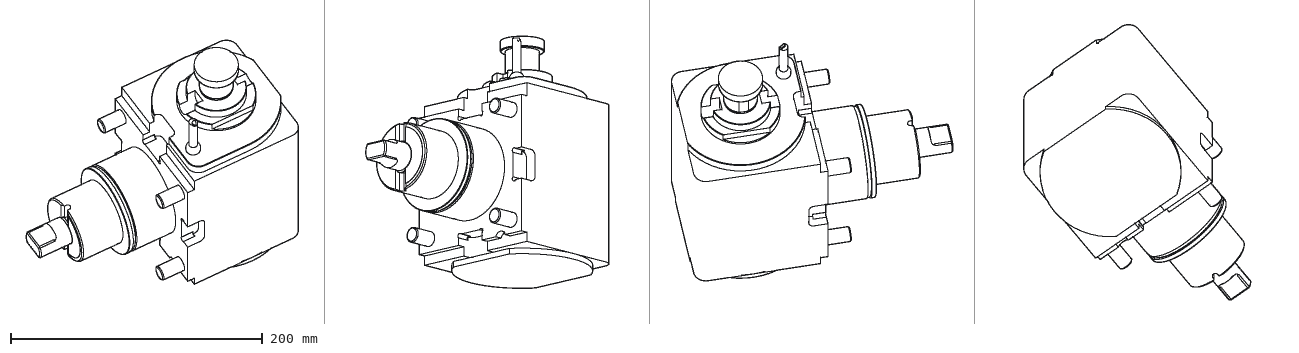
import cadquery as cq
import math


block_width = 112.0
block_back_y = 46.8
block_front_y = -54.0
block_top_z = 66.5
block_bottom_z = -63.5
block_corner_radius = 10.0
flange_front_y = -60.0
flange_half_height = 56.0

lid_top_z = 74.1
lid_radius = 51.5
lid_corner_radius = 10.0
lid_chamfer = 0.5
base_bottom_z = -68.0
base_front_y = -47.0

pocket_half_width = 12.8
pocket_back_y = -44.5
pocket_fillet = 4.5
upright_pocket_floor = 47.0
side_pocket_floor = 46.5
relief_diameter = 4.0
relief_inset = 1.2
relief_back_y = -49.5

nozzle_x = 33.0
nozzle_y = -41.2
ball_diameter = 12.0
ball_center_z = 75.8
pipe_diameter = 7.0
pipe_top_z = 108.8
spray_hole_diameter = 4.8
spray_hole_x = 0.7
spray_hole_y = 0.5
spray_hole_depth = 1.5
spray_hole_length = 8.7
spray_hole_direction = (1, 0.7, 1)

notch_radius = 5.2
notch_center_z = -57.5

neck_diameter = 75.0
neck_end_y = -103.0
neck_chamfer = 0.5
ring_groove_diameter = 70.2
ring_groove_y = -96.0
ring_groove_width = 3.3
ring_thickness = 3.0
ring_outer_diameter = 73.7
nose_diameter = 55.0
nose_end_y = -140.5
nose_chamfer = 1.0
nose_groove_width = 4.8
nose_groove_depth = 5.2
nose_groove_mouth = 11.7
nose_groove_mouth_depth = 1.3
nose_recess_radius = 23.8
nose_recess_depth = 0.2

shaft_diameter = 23.0
shaft_end_y = -170.0
shaft_chamfer = 1.0
shoulder_diameter = 25.5
shoulder_back_y = -130.0
tang_thickness = 13.5
tang_start_y = -152.8
tang_root_fillet = 2.5
tang_chamfer = 1.0
tang_side_bevel_depth = 0.5

knob_diameter = 35.0
knob_top_z = 120.0
knob_bottom_z = 111.5
knob_chamfer = 0.7
stem_diameter = 27.0
stem_flat_x = -13.0
stem_flat_bottom_z = 93.2
stem_flat_top_z = 110.5
undercut_diameter = 26.2
collar_diameter = 47.9
collar_top_z = 91.2
plate_diameter = 63.0
plate_top_z = 83.2
plate_bottom_z = 75.6
plate_half_flats = 25.1
plate_flat_bottom_z = 77.4
collar_chamfer = 0.5
spigot_diameter = 56.0
driver_slot_width = 12.0
driver_slot_center_z = 85.4
driver_slot_inner_y = 16.0

screw_diameter = 12.1
screw_pitch_half = 45.0
screw_end_y = -80.0
screw_chamfer = 0.9


def box_between(x0, x1, y0, y1, z0, z1):
    """Box given by its limits on the three axes."""
    return cq.Workplane("XY").box(x1 - x0, y1 - y0, z1 - z0, centered=False).translate((x0, y0, z0))


def upright_cylinder(diameter, z0, z1):
    """Cylinder on the spindle axis."""
    return cq.Workplane("XY", origin=(0, 0, z0)).circle(diameter / 2).extrude(z1 - z0)


def front_cylinder(diameter, back_y, front_y, x=0.0, z=0.0):
    """Cylinder along -Y from back_y to front_y."""
    return cq.Workplane("XZ", origin=(x, back_y, z)).circle(diameter / 2).extrude(back_y - front_y)


def make_block():
    """Block with rounded back corners and a raised flange on its front."""
    half = block_width / 2
    block = box_between(-half, half, block_front_y, block_back_y, block_bottom_z, block_top_z)
    block = block.edges("|Z and >Y").fillet(block_corner_radius)
    flange = box_between(-half, half, flange_front_y, block_front_y, -flange_half_height, flange_half_height)
    return block.union(flange)


def make_lid():
    """Round cover with one square corner, cut off level with the back of the block."""
    disc = upright_cylinder(2 * lid_radius, block_top_z, lid_top_z)
    corner = box_between(0, lid_radius, -lid_radius, 0, block_top_z, lid_top_z)
    corner = corner.edges("|Z and >X and <Y").fillet(lid_corner_radius)
    trim = box_between(-lid_radius, lid_radius, -lid_radius, block_back_y, block_top_z, lid_top_z)
    return disc.union(corner).faces(">Z").chamfer(lid_chamfer).intersect(trim)


def make_base():
    """Round cover under the block, as wide as the block and cut off at the front and back."""
    half = block_width / 2
    disc = upright_cylinder(block_width, base_bottom_z, block_bottom_z)
    return disc.intersect(box_between(-half, half, base_front_y, block_back_y, base_bottom_z, block_bottom_z))


def make_key_pocket(floor, angle):
    """Open pocket with relieved floor corners, turned about the drive axis from the top position."""
    half = pocket_half_width
    pocket = box_between(-half, half, flange_front_y, pocket_back_y, floor, lid_top_z)
    pocket = pocket.edges("|Z and >Y").fillet(pocket_fillet)
    for side in (-1, 1):
        x = side * (half - relief_inset)
        z = floor + relief_inset
        pocket = pocket.union(front_cylinder(relief_diameter, relief_back_y, flange_front_y, x, z))
    return pocket.rotate((0, 0, 0), (0, 1, 0), angle)


def make_neck():
    """Stepped neck with a sealing ring in a groove, ending in a grooved nose."""
    neck = front_cylinder(neck_diameter, flange_front_y, neck_end_y).faces("<Y").chamfer(neck_chamfer)
    groove_front_y = ring_groove_y - ring_groove_width
    ring_groove = front_cylinder(neck_diameter, ring_groove_y, groove_front_y).cut(
        front_cylinder(ring_groove_diameter, ring_groove_y, groove_front_y)
    )
    nose = front_cylinder(nose_diameter, neck_end_y, nose_end_y).faces("<Y").chamfer(nose_chamfer)
    recess = front_cylinder(2 * nose_recess_radius, nose_end_y + nose_recess_depth, nose_end_y)
    recess = recess.intersect(
        box_between(0, nose_diameter, nose_end_y, neck_end_y, -nose_diameter, nose_diameter)
    )
    neck = neck.cut(ring_groove).union(make_sealing_ring())
    return neck.union(nose.cut(recess).cut(make_nose_groove()))


def make_sealing_ring():
    """Round bead that fills the ring groove to just below the neck surface."""
    center_radius = (ring_outer_diameter - ring_thickness) / 2
    center_y = ring_groove_y - ring_groove_width / 2
    return (
        cq.Workplane("XY", origin=(-center_radius, center_y, 0))
        .circle(ring_thickness / 2)
        .revolve(360, (center_radius, 0, 0), (center_radius, 1, 0))
    )


def make_nose_groove():
    """Round-bottomed groove along Z across the nose face, with a flared mouth."""
    radius = nose_groove_width / 2
    straight_y = nose_end_y + nose_groove_depth - radius
    flare_y = nose_end_y + nose_groove_mouth_depth
    mouth = nose_groove_mouth / 2
    return (
        cq.Workplane("XY", origin=(0, 0, -nose_diameter / 2))
        .moveTo(-mouth, nose_end_y)
        .lineTo(-radius, flare_y)
        .lineTo(-radius, straight_y)
        .threePointArc((0, straight_y + radius), (radius, straight_y))
        .lineTo(radius, flare_y)
        .lineTo(mouth, nose_end_y)
        .close()
        .extrude(nose_diameter)
    )


def make_nozzle():
    """Ball with an upright pipe, whose tip has a spray hole slanting outward."""
    ball = cq.Workplane("XY").sphere(ball_diameter / 2).translate((0, 0, ball_center_z))
    pipe = upright_cylinder(pipe_diameter, ball_center_z, pipe_top_z)
    hole_center = (spray_hole_x, spray_hole_y, pipe_top_z - spray_hole_depth)
    spray_hole = (
        cq.Workplane(cq.Plane(origin=hole_center, normal=spray_hole_direction))
        .circle(spray_hole_diameter / 2)
        .extrude(spray_hole_length)
    )
    return ball.union(pipe).cut(spray_hole).translate((nozzle_x, nozzle_y, 0))


def make_drive_shaft():
    """Shaft with a 45 degree tapered shoulder inside the nose and a flat tang on its front end."""
    shaft_radius = shaft_diameter / 2
    shoulder_radius = shoulder_diameter / 2
    taper_start_y = nose_end_y + shoulder_radius - shaft_radius
    shoulder = front_cylinder(shoulder_diameter, shoulder_back_y, taper_start_y)
    taper = cq.Solid.makeCone(
        shoulder_radius,
        shaft_radius,
        taper_start_y - nose_end_y,
        cq.Vector(0, taper_start_y, 0),
        cq.Vector(0, -1, 0),
    )
    shoulder = shoulder.union(cq.Workplane(taper))
    shaft = front_cylinder(shaft_diameter, taper_start_y, shaft_end_y).faces("<Y").chamfer(shaft_chamfer)
    for side in (-1, 1):
        z0, z1 = sorted((side * tang_thickness / 2, side * shaft_diameter))
        flat = box_between(-shaft_radius, shaft_radius, shaft_end_y, tang_start_y, z0, z1)
        inner_face = "<Z" if side > 0 else ">Z"
        flat = flat.faces(">Y").edges(inner_face).fillet(tang_root_fillet)
        shaft = shaft.cut(flat)
    return shoulder.union(bevel_tang(shaft))


def bevel_tang(shaft):
    """Bevel the end and side edges of both tang flats."""
    half_width = math.sqrt((shaft_diameter / 2) ** 2 - (tang_thickness / 2) ** 2)
    bevel_start_y = tang_start_y - tang_root_fillet
    for side in (-1, 1):
        z_face = side * tang_thickness / 2
        end_bevel = (
            cq.Workplane("YZ", origin=(-shaft_diameter / 2, 0, 0))
            .moveTo(shaft_end_y, z_face)
            .lineTo(shaft_end_y + tang_chamfer, z_face)
            .lineTo(shaft_end_y, z_face - side * tang_chamfer)
            .close()
            .extrude(shaft_diameter)
        )
        shaft = shaft.cut(end_bevel)
        for hand in (-1, 1):
            x_inner = hand * (half_width - tang_chamfer)
            x_outer = hand * (half_width + tang_chamfer)
            side_bevel = (
                cq.Workplane("XZ", origin=(0, bevel_start_y, 0))
                .moveTo(x_inner, z_face)
                .lineTo(x_outer, z_face)
                .lineTo(x_outer, z_face - side * 2 * tang_side_bevel_depth)
                .close()
                .extrude(bevel_start_y - shaft_end_y)
            )
            shaft = shaft.cut(side_bevel)
    return shaft


def make_spindle():
    """Knob, stem and slotted collar on a plate with two flats."""
    knob = upright_cylinder(knob_diameter, knob_bottom_z, knob_top_z).faces("<Z").chamfer(knob_chamfer)
    undercut = upright_cylinder(undercut_diameter, collar_top_z, stem_flat_bottom_z)
    stem = upright_cylinder(stem_diameter, stem_flat_bottom_z, knob_bottom_z)
    reach = stem_diameter / 2
    stem_flat = box_between(-reach, stem_flat_x, -reach, reach, stem_flat_bottom_z, stem_flat_top_z)
    stem = stem.cut(stem_flat)
    collar = upright_cylinder(collar_diameter, plate_top_z, collar_top_z).faces(">Z").chamfer(collar_chamfer)
    plate = upright_cylinder(plate_diameter, plate_bottom_z, plate_top_z).faces(">Z").chamfer(collar_chamfer)
    spigot = upright_cylinder(spigot_diameter, lid_top_z, plate_bottom_z)
    for side in (-1, 1):
        x0, x1 = sorted((side * plate_half_flats, side * plate_diameter))
        plate = plate.cut(
            box_between(x0, x1, -plate_diameter, plate_diameter, plate_flat_bottom_z, plate_top_z)
        )
    base = collar.union(plate).union(spigot)
    for angle in (0, 180):
        base = base.cut(make_driver_slot().rotate((0, 0, 0), (0, 0, 1), angle))
    return base.union(undercut).union(stem).union(knob)


def make_driver_slot():
    """Round-bottomed radial slot on the -Y side of the spindle."""
    outer_y = -plate_diameter
    half = driver_slot_width / 2
    floor = front_cylinder(driver_slot_width, -driver_slot_inner_y, outer_y, 0, driver_slot_center_z)
    walls = box_between(-half, half, outer_y, -driver_slot_inner_y, driver_slot_center_z, collar_top_z)
    return floor.union(walls)


def make_screw(x, z):
    """Screw shank standing out of the flange."""
    shank = front_cylinder(screw_diameter, flange_front_y, screw_end_y, x, z)
    return shank.faces("<Y").chamfer(screw_chamfer)


housing = make_block().union(make_lid())
for floor, angle in (
    (upright_pocket_floor, 0),
    (side_pocket_floor, 90),
    (upright_pocket_floor, 180),
    (side_pocket_floor, 270),
):
    housing = housing.cut(make_key_pocket(floor, angle))
housing = housing.cut(
    front_cylinder(2 * notch_radius, block_front_y, flange_front_y, nozzle_x, notch_center_z)
)
housing = housing.union(make_base()).union(make_neck()).union(make_nozzle())

drive_shaft = make_drive_shaft()
housing = housing.cut(drive_shaft)

spindle = make_spindle()

screws = [
    make_screw(x, z)
    for x in (-screw_pitch_half, screw_pitch_half)
    for z in (-screw_pitch_half, screw_pitch_half)
]

result = cq.Compound.makeCompound(
    [housing.val(), drive_shaft.val(), spindle.val(), *[screw.val() for screw in screws]]
)